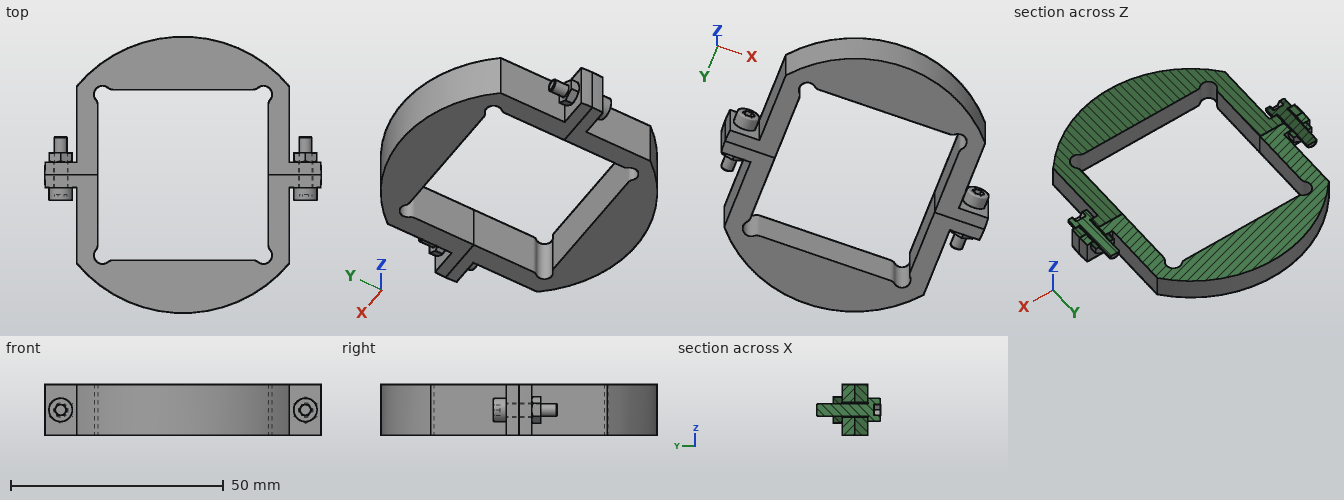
import cadquery as cq
import math

ring_radius = 32.5
ring_height = 12.0
bore_side = 40.0
wall = 5.0
body_half_width = bore_side / 2 + wall
ear_thickness = 3.0
bore_relief_radius = 2.0
bore_relief_blend_radius = 1.8
bore_relief_inset = 1.1
bore_relief_offset = bore_side / 2 - bore_relief_inset
clearance_hole_diameter = 3.4

hex_cone_angle = math.radians(30)

screw_x = (body_half_width + ring_radius) / 2
shank_diameter = 3.0
thread_bore_diameter = 3.09
shank_length = 12.0
tip_diameter = 2.53
tip_chamfer = (shank_diameter - tip_diameter) / 2
head_diameter = 5.5
head_height = 3.0
head_edge_radius = 0.3
socket_across_flats = 2.5
socket_depth = 1.5
nut_across_flats = 5.35
nut_height = 2.15


def make_bore():
    """Square bore with a round relief in each corner, blended into the walls."""
    relief_centres = (
        cq.Workplane("XY")
        .rect(2 * bore_relief_offset, 2 * bore_relief_offset, forConstruction=True)
        .vertices()
    )
    corner_reliefs = relief_centres.circle(bore_relief_radius).extrude(ring_height / 2, both=True)
    bore = (
        cq.Workplane("XY")
        .rect(bore_side, bore_side)
        .extrude(ring_height / 2, both=True)
        .union(corner_reliefs)
    )
    relief_reach = math.sqrt(bore_relief_radius**2 - bore_relief_inset**2)
    blend_edge = bore_relief_offset - relief_reach
    for x, y in ((bore_side / 2, blend_edge), (blend_edge, bore_side / 2)):
        for x_sign in (-1, 1):
            for y_sign in (-1, 1):
                corner = cq.selectors.NearestToPointSelector((x_sign * x, y_sign * y, 0))
                bore = bore.edges("|Z").edges(corner).fillet(bore_relief_blend_radius)
    return bore


def make_clamp_half(side):
    """Half of the clamp on the +Y side (side = 1) or the -Y side (side = -1)."""
    half_disc = (
        cq.Workplane("XY")
        .moveTo(-ring_radius, 0)
        .threePointArc((0, side * ring_radius), (ring_radius, 0))
        .close()
        .extrude(ring_height / 2, both=True)
    )
    notch_width = ring_radius - body_half_width
    notch_y = side * (ear_thickness + ring_radius / 2)
    side_notches = (
        cq.Workplane("XY")
        .pushPoints([(-screw_x, notch_y), (screw_x, notch_y)])
        .rect(notch_width, ring_radius)
        .extrude(ring_height / 2, both=True)
    )
    screw_holes = (
        cq.Workplane("XZ")
        .pushPoints([(-screw_x, 0), (screw_x, 0)])
        .circle(clearance_hole_diameter / 2)
        .extrude(ear_thickness, both=True)
    )
    return half_disc.cut(side_notches).cut(make_bore()).cut(screw_holes)


def make_coned_hexagon(base, across_flats, length):
    """Hexagonal prism along the normal of base, with its corners coned off at the base."""
    flat_radius = across_flats / 2
    corner_radius = flat_radius / math.cos(math.pi / 6)
    cone_width = corner_radius - flat_radius
    cone_height = cone_width * math.tan(hex_cone_angle)
    envelope = base.circle(corner_radius).extrude(length)
    base_face = cq.selectors.NearestToPointSelector(base.plane.origin.toTuple())
    envelope = envelope.faces(base_face).edges().chamfer(cone_height, cone_width)
    prism = base.polygon(6, 2 * corner_radius).extrude(length)
    return prism.intersect(envelope)


def make_screw(x):
    """Socket head screw with its head under the -Y ear and its tip toward +Y."""
    head_seat = cq.Workplane("XZ", origin=(x, -ear_thickness, 0))
    head = head_seat.circle(head_diameter / 2).extrude(head_height)
    head = head.faces("<Y").edges().fillet(head_edge_radius)
    shank = head_seat.circle(shank_diameter / 2).extrude(-shank_length)
    shank = shank.faces(">Y").edges().chamfer(tip_chamfer)
    floor_y = -ear_thickness - head_height + socket_depth
    floor = cq.Workplane("XZ", origin=(x, floor_y, 0))
    socket = make_coned_hexagon(floor, socket_across_flats, socket_depth)
    return head.union(shank).cut(socket)


def make_nut(x):
    """Hex nut seated on the +Y ear, its corners up and down, the seat side coned off."""
    seat = cq.Workplane("XZ", origin=(x, ear_thickness, 0))
    hexagon = make_coned_hexagon(seat.transformed(rotate=(0, 0, 90)), nut_across_flats, -nut_height)
    thread_bore = seat.circle(thread_bore_diameter / 2).extrude(-nut_height)
    return hexagon.cut(thread_bore)


clamp_halves = [make_clamp_half(side) for side in (1, -1)]
screws = [make_screw(x) for x in (-screw_x, screw_x)]
nuts = [make_nut(x) for x in (-screw_x, screw_x)]

result = cq.Compound.makeCompound([body.val() for body in clamp_halves + screws + nuts])